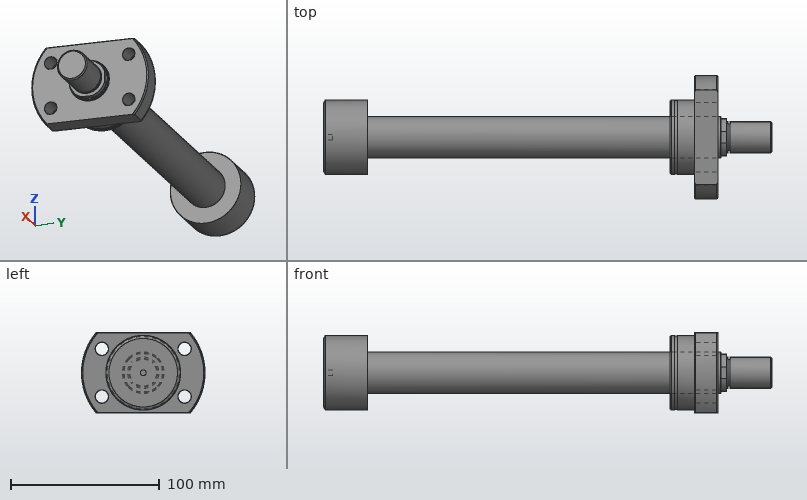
import cadquery as cq
import math

total_length = 301.0
small_chamfer = 1.0

head_diameter = 50.3
head_length = 29.5
head_chamfer_length = 1.2
head_chamfer_height = 2.0
center_hole_diameter = 4.0
center_hole_depth = 6.0
rod_diameter = 28.0
rod_end = 267.0
rod_end_chamfer = 0.5

bushing_start = 232.7
bushing_diameter = head_diameter
flange_start = 249.0
flange_end = 265.0
flange_diameter = 83.0
flange_width = 54.0
groove_start = bushing_start + 3.0
groove_width = 1.8
groove_depth = 0.3
bolt_hole_diameter = 8.7
bolt_circle_diameter = 64.0
bolt_angle = 30.0

collar_diameter = 26.2
collar_flats_width = 25.0
collar_end = 270.5
shoulder_end = 271.5
neck_diameter = 18.0
journal_start = 273.0
journal_diameter = 21.0


def cylinder(start, end, diameter):
    """Solid cylinder along the X axis between two X positions."""
    return cq.Workplane("YZ", origin=(start, 0, 0)).circle(diameter / 2).extrude(end - start)


def slab(start, end, y_size, z_size):
    """Rectangular block along the X axis between two X positions."""
    return cq.Workplane("YZ", origin=(start, 0, 0)).rect(y_size, z_size).extrude(end - start)


def make_headed_rod():
    """Rod and head in one piece, with a blind centre hole in the free face of the head."""
    head = cylinder(0, head_length, head_diameter)
    head = head.faces("<X").chamfer(head_chamfer_length, head_chamfer_height)
    rod = cylinder(head_length, rod_end, rod_diameter)
    rod = rod.faces(">X").chamfer(rod_end_chamfer)
    center_hole = cylinder(0, center_hole_depth, center_hole_diameter)
    return head.union(rod).cut(center_hole)


def make_bolt_holes():
    """Four through holes on the bolt circle, mirrored about both flange centre planes."""
    angle = math.radians(bolt_angle)
    y_spacing = bolt_circle_diameter * math.cos(angle)
    z_spacing = bolt_circle_diameter * math.sin(angle)
    return (
        cq.Workplane("YZ", origin=(flange_start, 0, 0))
        .rect(y_spacing, z_spacing, forConstruction=True)
        .vertices()
        .circle(bolt_hole_diameter / 2)
        .extrude(flange_end - flange_start)
    )


def make_bushing():
    """Grooved sleeve and bolted flange, bored to fit the rod."""
    sleeve = cylinder(bushing_start, flange_start, bushing_diameter)
    sleeve = sleeve.faces("<X").chamfer(small_chamfer)

    groove_end = groove_start + groove_width
    groove_core = cylinder(groove_start, groove_end, bushing_diameter - 2 * groove_depth)
    groove = cylinder(groove_start, groove_end, bushing_diameter).cut(groove_core)

    flange = cylinder(flange_start, flange_end, flange_diameter)
    flange = flange.faces("<X or >X").chamfer(small_chamfer)
    flange = flange.intersect(slab(flange_start, flange_end, flange_diameter, flange_width))

    bore = cylinder(bushing_start, flange_end, rod_diameter)
    return sleeve.cut(groove).union(flange).cut(make_bolt_holes()).cut(bore)


def make_end_shaft():
    """Stepped shaft that butts against the end of the rod."""
    collar = cylinder(rod_end, collar_end, collar_diameter)
    collar = collar.intersect(slab(rod_end, collar_end, collar_flats_width, collar_flats_width))
    shoulder = cylinder(collar_end, shoulder_end, journal_diameter)
    neck = cylinder(shoulder_end, journal_start, neck_diameter)
    journal = cylinder(journal_start, total_length, journal_diameter)
    journal = journal.faces(">X").chamfer(small_chamfer)
    return collar.union(shoulder).union(neck).union(journal)


headed_rod = make_headed_rod()
bushing = make_bushing()
end_shaft = make_end_shaft()

result = cq.Compound.makeCompound([headed_rod.val(), bushing.val(), end_shaft.val()])